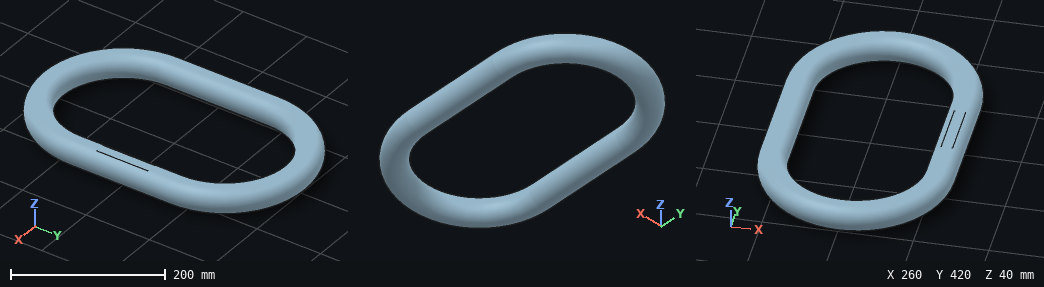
import cadquery as cq
import math

wire_diameter = 40.0
inner_width = 180.0
overall_length = 420.0

flat_depth = 1.5
flat_side_length = 80.0
end_bulge = 2.5

wire_radius = wire_diameter / 2
bend_radius = (inner_width + wire_diameter) / 2
straight_length = overall_length - 2 * (bend_radius + wire_radius)
half_straight = straight_length / 2
flat_height = wire_radius - flat_depth
flat_length = flat_side_length + 2 * end_bulge

half_flat_width = math.sqrt(wire_radius**2 - flat_height**2)

cone_base_radius = (half_flat_width**2 + end_bulge**2) / (2 * end_bulge)
cone_rise_length = 2 * end_bulge
cone_height = cone_base_radius * flat_depth / cone_rise_length
cone_center_y = flat_side_length / 2 - end_bulge + cone_base_radius


def straight_leg(x):
    """Round bar along Y, centred at the given X."""
    return (
        cq.Workplane("XZ", origin=(x, half_straight, 0))
        .circle(wire_radius)
        .extrude(straight_length)
    )


def end_bend(side):
    """Half torus joining the two legs; side is +1 for the +Y end, -1 for the -Y end."""
    return (
        cq.Workplane("XZ", origin=(0, side * half_straight, 0))
        .center(side * bend_radius, 0)
        .circle(wire_radius)
        .revolve(180, (-side * bend_radius, 0), (-side * bend_radius, 1))
    )


def end_cone(side):
    """Cone left standing at one end of the flat; side is +1 for +Y, -1 for -Y."""
    cone = cq.Solid.makeCone(
        cone_base_radius,
        0,
        cone_height,
        pnt=cq.Vector(bend_radius, side * cone_center_y, flat_height),
    )
    return cq.Workplane(obj=cone)


def flat_cutter():
    """Block that removes the crown of the +X leg down to the flat, leaving the sloped ends."""
    cutter = (
        cq.Workplane("XY", origin=(bend_radius, 0, flat_height))
        .rect(wire_diameter, flat_length)
        .extrude(wire_radius)
    )
    for side in (1, -1):
        cutter = cutter.cut(end_cone(side))
    return cutter


link = straight_leg(bend_radius).union(straight_leg(-bend_radius))
for side in (1, -1):
    link = link.union(end_bend(side))

result = link.cut(flat_cutter())